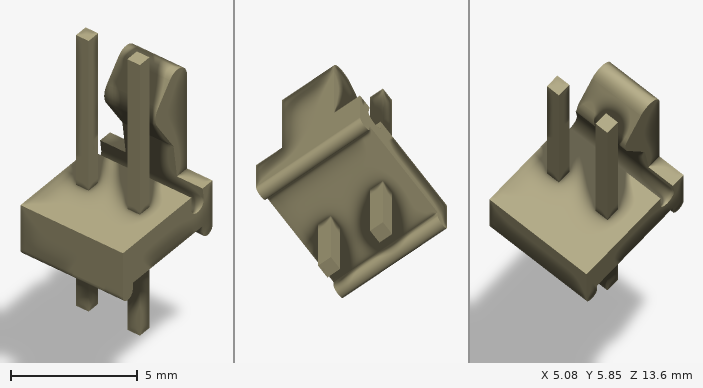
import cadquery as cq
import math


pitch = 2.54
pin_count = 2
body_width = pitch * pin_count
body_depth = 5.85
body_height = 1.89
foot_width = 0.64
foot_height = 0.65

pin_side = 0.63
pin_length = 13.59
pin_top = 7.52
pin_y = -3.17

slot_radius = 0.41
slot_y = -0.98
slot_z = -0.58

arm_width = pitch
head_radius = 0.63
head_y = -head_radius
head_z = 4.73
nose_radius = 0.76
nose_y = -1.29
nose_z = 3.71
neck_y = -0.87
neck_z = 1.65


def polar(center, radius, angle):
    """Point on a circle in the YZ plane."""
    return (center[0] + radius * math.cos(angle), center[1] + radius * math.sin(angle))


def tangent_angle(point, center, radius, side):
    """Angle on the circle where the line from an outside point touches it; side is +1 or -1."""
    dy = point[0] - center[0]
    dz = point[1] - center[1]
    return math.atan2(dz, dy) + side * math.acos(radius / math.hypot(dy, dz))


def extrude_centered(profile, width):
    """Extrude a closed YZ profile symmetrically about X = 0."""
    return profile.extrude(width / 2, both=True)


head = (head_y, head_z)
nose = (nose_y, nose_z)
neck = (neck_y, neck_z)
slot = (slot_y, slot_z)

slot_touch = tangent_angle(neck, slot, slot_radius, -1)
slot_tangent = polar(slot, slot_radius, slot_touch)


def make_body():
    block = cq.Workplane("XY").box(body_width, body_depth, body_height, centered=(True, False, False))
    return block.translate((0, -body_depth, -body_height))


def make_foot(y):
    """Full-width rib under the body with a half-round lower edge."""
    half = foot_width / 2
    shoulder_z = -body_height - foot_height + half
    profile = (
        cq.Workplane("YZ")
        .moveTo(y - half, -body_height)
        .lineTo(y - half, shoulder_z)
        .threePointArc((y, shoulder_z - half), (y + half, shoulder_z))
        .lineTo(y + half, -body_height)
        .close()
    )
    return extrude_centered(profile, body_width)


def make_slot():
    """Round-bottomed slot whose back wall follows the sloping neck line."""
    front_y = slot_y - slot_radius
    profile = (
        cq.Workplane("YZ")
        .moveTo(front_y, neck_z)
        .lineTo(front_y, slot_z)
        .threePointArc((slot_y, slot_z - slot_radius), slot_tangent)
        .lineTo(*neck)
        .close()
    )
    return extrude_centered(profile, body_width)


def make_arm():
    """Upright arm with a rounded head and a nose hooked toward the pins."""
    run = nose_y - head_y
    rise = nose_z - head_z
    tilt = math.acos((head_radius - nose_radius) / math.hypot(run, rise))
    full_turn = 2 * math.pi
    slope_normal = math.atan2(rise, run) - tilt + full_turn
    nose_touch = tangent_angle(neck, nose, nose_radius, -1) + full_turn
    head_middle = slope_normal / 2
    nose_middle = (slope_normal + nose_touch) / 2
    profile = (
        cq.Workplane("YZ")
        .moveTo(0, slot_tangent[1])
        .lineTo(0, head_z)
        .threePointArc(polar(head, head_radius, head_middle), polar(head, head_radius, slope_normal))
        .lineTo(*polar(nose, nose_radius, slope_normal))
        .threePointArc(polar(nose, nose_radius, nose_middle), polar(nose, nose_radius, nose_touch))
        .lineTo(*neck)
        .lineTo(*slot_tangent)
        .close()
    )
    return extrude_centered(profile, arm_width)


def make_pin(x):
    pin = cq.Workplane("XY").box(pin_side, pin_side, pin_length, centered=(True, True, False))
    return pin.translate((x, pin_y, pin_top - pin_length))


result = make_body().cut(make_slot()).union(make_arm())

for foot_y in (-foot_width / 2, foot_width / 2 - body_depth):
    result = result.union(make_foot(foot_y))

for index in range(pin_count):
    result = result.union(make_pin((index - (pin_count - 1) / 2) * pitch))